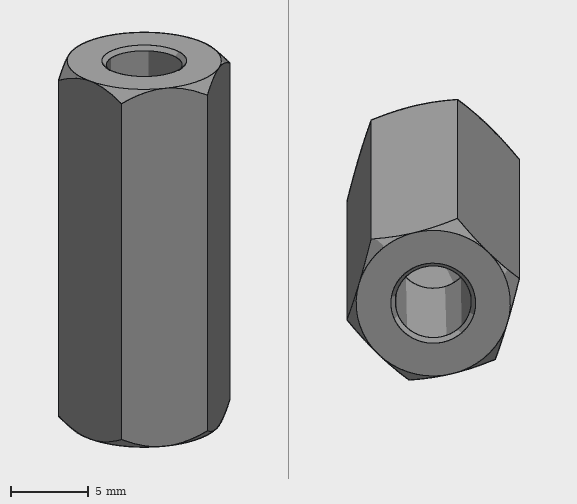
import cadquery as cq
import math

length = 25.0
across_flats = 10.0
across_corners = across_flats / math.cos(math.radians(30))

hole_diameter = 4.92
hole_depth = 10.0
drill_point_angle = 118.0
countersink_diameter = 5.5

hole_radius = hole_diameter / 2
countersink_radius = countersink_diameter / 2
countersink_depth = countersink_radius - hole_radius
drill_point_height = hole_radius / math.tan(math.radians(drill_point_angle / 2))


def revolve_about_z(profile):
    """Turn a closed (radius, height) outline into a solid about the Z axis."""
    return cq.Workplane("XZ").polyline(profile).close().revolve(360, (0, 0), (0, 1))


def chamfered_hexagon():
    """Hexagon with corners on X, its ends turned to 45 degree cones."""
    flat_radius = across_flats / 2
    corner_radius = across_corners / 2
    chamfer = corner_radius - flat_radius
    hexagon = cq.Workplane("XY").polygon(6, across_corners).extrude(length)
    turned_envelope = revolve_about_z([
        (0, 0),
        (flat_radius, 0),
        (corner_radius, chamfer),
        (corner_radius, length - chamfer),
        (flat_radius, length),
        (0, length),
    ])
    return hexagon.intersect(turned_envelope)


def top_hole():
    """Countersunk drilled hole with a conical bottom, opening at the top."""
    hole_floor = length - hole_depth
    return revolve_about_z([
        (0, length),
        (countersink_radius, length),
        (hole_radius, length - countersink_depth),
        (hole_radius, hole_floor),
        (0, hole_floor - drill_point_height),
    ])


upper_hole = top_hole()
lower_hole = upper_hole.mirror("XY", (0, 0, length / 2))
result = chamfered_hexagon().cut(upper_hole).cut(lower_hole)